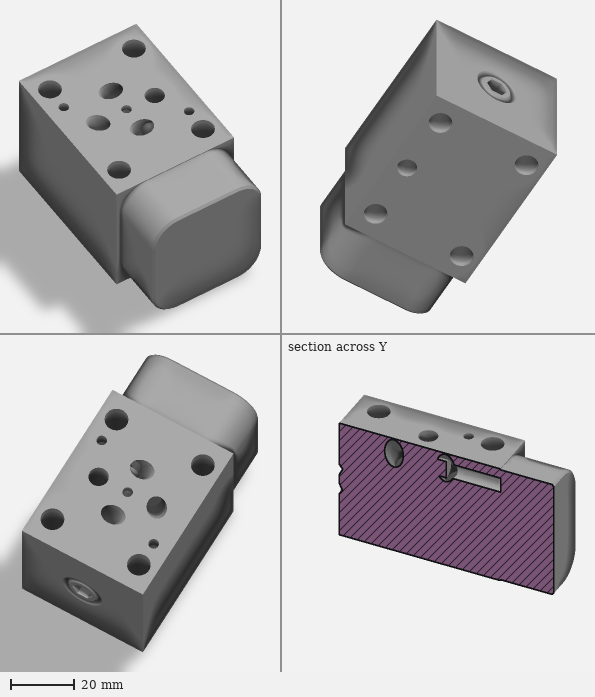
import cadquery as cq
import math

overall_length = 76.2
block_length = 57.15
block_width = 44.4
block_height = 43.2
mid_x = block_length / 2
mid_y = block_width / 2
mid_z = block_height / 2

cap_length = overall_length - block_length
cap_width = 41.2
cap_height = 42.5
cap_corner_radius = 9.5
cap_chamfer = 0.8

mount_diameter = 7.55
mount_offset_x = 20.2
mount_offset_y = 15.85

port_diameter = 6.4
port_offset_x = 9.15
port_offset_y = 10.7
side_port_tilt = 38.5
straight_heading = 90.0
front_port_tilt = 35.5
front_port_heading = 38.0
rear_port_tilt = 7.3
blind_port_length = 19.8
port_overrun = 7.6

dowel_diameter = 6.4
dowel_end_x = 9.5
passage_diameter = 5.2
passage_start_x = 10.1
passage_offset_y = 4.6
passage_depth = 6.3

pin_diameter = 3.35
outer_pin_depth = 4.6
centre_pin_depth = 2.1
pin_offset_x = 11.5
pin_offset_y = 16.2
drill_tip_angle = 118.0

groove_outer_diameter = 14.5
groove_root_diameter = 12.2
plug_face_diameter = 9.75
groove_depth = 1.15
socket_across_flats = 6.3
socket_depth = 4.2


def drill_tip_height(diameter):
    return diameter / 2 / math.tan(math.radians(drill_tip_angle / 2))


def make_cap():
    cap = (
        cq.Workplane("YZ", origin=(block_length, mid_y, mid_z))
        .rect(cap_width, cap_height)
        .extrude(cap_length)
        .edges("|X")
        .fillet(cap_corner_radius)
    )
    return cap.faces(">X").chamfer(cap_chamfer)


def port_cutter(x, y, tilt, heading, length):
    """Cylinder through (x, y) on the top face, leaning along heading by tilt degrees off vertical."""
    lean = math.sin(math.radians(tilt))
    direction = cq.Vector(
        lean * math.cos(math.radians(heading)),
        lean * math.sin(math.radians(heading)),
        -math.cos(math.radians(tilt)),
    )
    mouth = cq.Vector(mid_x + x, mid_y + y, block_height)
    start = mouth - direction * port_overrun
    return cq.Workplane(
        cq.Solid.makeCylinder(port_diameter / 2, length + port_overrun, start, direction)
    )


def passage_cylinder(diameter, start_x, end_x):
    """Cylinder on the passage axis between two X distances from the block centre."""
    return (
        cq.Workplane("YZ", origin=(mid_x + start_x, mid_y + passage_offset_y, block_height - passage_depth))
        .circle(diameter / 2)
        .extrude(end_x - start_x)
    )


def pin_cutter(x, y, depth):
    """Blind drilled hole with a conical bottom, centred at (x, y) on the top face."""
    radius = pin_diameter / 2
    return (
        cq.Workplane("XZ")
        .lineTo(radius, 0)
        .lineTo(radius, -depth)
        .lineTo(0, -depth - drill_tip_height(pin_diameter))
        .close()
        .revolve(360, (0, 0), (0, 1))
        .translate((mid_x + x, mid_y + y, block_height))
    )


def plug_groove_cutter():
    """Ring of triangular section about the plug axis."""
    return (
        cq.Workplane("XY")
        .moveTo(0, plug_face_diameter / 2)
        .lineTo(0, groove_outer_diameter / 2)
        .lineTo(groove_depth, groove_root_diameter / 2)
        .close()
        .revolve(360, (0, 0), (1, 0))
        .translate((0, mid_y, mid_z))
    )


def plug_socket_cutter():
    """Hexagon with corners along Y, ending in a drilled tip."""
    across_corners = socket_across_flats / math.cos(math.pi / 6)
    hexagon = cq.Workplane("YZ").polygon(6, across_corners).extrude(socket_depth)
    tip = cq.Workplane(
        cq.Solid.makeCone(
            socket_across_flats / 2,
            0,
            drill_tip_height(socket_across_flats),
            cq.Vector(socket_depth, 0, 0),
            cq.Vector(1, 0, 0),
        )
    )
    return hexagon.union(tip).translate((0, mid_y, mid_z))


block = cq.Workplane("XY").box(block_length, block_width, block_height, centered=False)
block = (
    block.faces(">Z")
    .workplane(origin=(mid_x, mid_y, block_height))
    .rect(2 * mount_offset_x, 2 * mount_offset_y, forConstruction=True)
    .vertices()
    .hole(mount_diameter)
)
result = block.union(make_cap())

rear_port_length = block_height / math.cos(math.radians(rear_port_tilt)) + port_overrun
for side in (-1, 1):
    result = result.cut(
        port_cutter(side * port_offset_x, 0, side_port_tilt, straight_heading, blind_port_length)
    )
result = result.cut(port_cutter(0, -port_offset_y, front_port_tilt, front_port_heading, blind_port_length))
result = result.cut(port_cutter(0, port_offset_y, rear_port_tilt, straight_heading, rear_port_length))

dowel_start_x = port_offset_x - port_diameter
result = result.union(passage_cylinder(dowel_diameter, dowel_start_x, dowel_end_x))
result = result.cut(passage_cylinder(passage_diameter, passage_start_x, mid_x))

for side in (-1, 1):
    result = result.cut(pin_cutter(side * pin_offset_x, side * pin_offset_y, outer_pin_depth))
result = result.cut(pin_cutter(0, 0, centre_pin_depth))

result = result.cut(plug_groove_cutter())
result = result.cut(plug_socket_cutter())